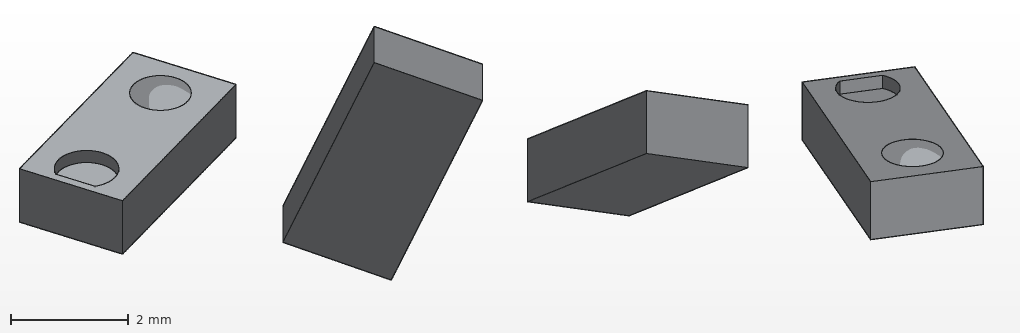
import cadquery as cq

body_width = 2.0
body_length = 4.0
total_height = 1.25
dome_height = 0.15
body_height = total_height - dome_height

dome_radius = 0.525
dome_y = 1.15
sphere_radius = (dome_radius**2 + dome_height**2) / (2 * dome_height)

pocket_radius = 0.55
pocket_y = -1.45
pocket_flat_y = -1.845
pocket_depth = 0.25


def make_body():
    return cq.Workplane("XY").box(body_width, body_length, body_height, centered=(True, True, False))


def make_dome():
    """Sphere sunk so that only its cap rises above the top face."""
    sphere = cq.Workplane("XY").sphere(sphere_radius).translate((0, dome_y, total_height - sphere_radius))
    above_top = (
        cq.Workplane("XY", origin=(0, dome_y, body_height))
        .circle(sphere_radius)
        .extrude(sphere_radius)
    )
    return sphere.intersect(above_top)


def make_pocket():
    """D-shaped cutter reaching from the pocket floor to the top face."""
    floor_z = body_height - pocket_depth
    half_flat = (pocket_radius**2 - (pocket_flat_y - pocket_y) ** 2) ** 0.5
    return (
        cq.Workplane("XY", origin=(0, 0, floor_z))
        .moveTo(-half_flat, pocket_flat_y)
        .threePointArc((0, pocket_y + pocket_radius), (half_flat, pocket_flat_y))
        .close()
        .extrude(pocket_depth)
    )


result = make_body().union(make_dome()).cut(make_pocket())